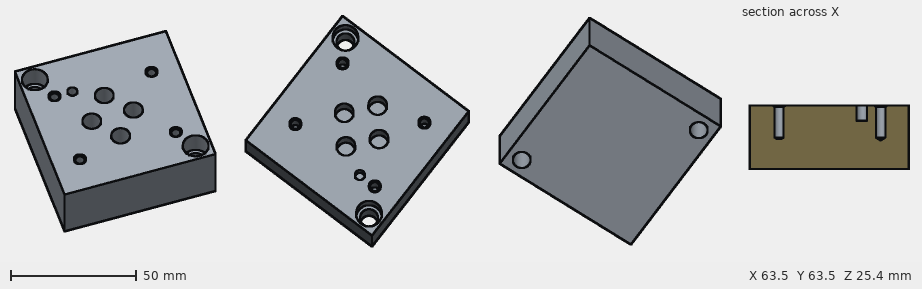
import cadquery as cq
import math

BLOCK_SIDE = 63.5
BLOCK_HEIGHT = 25.4

CORNER_INSET = 6.35
CORNER_HOLE_DIAMETER = 7.14
COUNTERBORE_DIAMETER = 10.31
COUNTERBORE_DEPTH = 10.0

PATTERN_ORIGIN_X = 16.5
PATTERN_ORIGIN_Y = 20.0

PORT_DIAMETER = 7.49
PORT_DEPTH = 12.7
PORTS = [(12.7, 15.5), (30.2, 15.5), (21.5, 5.1), (21.5, 25.9)]

BOLT_HOLE_DIAMETER = 3.68
BOLT_MOUTH_DIAMETER = 4.83
BOLT_MOUTH_ANGLE = 90.0
BOLT_HOLE_DEPTH = 12.7
DRILL_POINT_ANGLE = 118.0
BOLT_SPACING = 40.5
BOLT_HOLES = [(0.0, 0.0), (0.0, 31.0), (BOLT_SPACING, -0.75), (BOLT_SPACING, 31.75)]

PIN_HOLE_DIAMETER = 4.01
PIN_HOLE_DEPTH = 6.0
PIN_HOLE = (33.0, 31.75)


def cone_depth(diameter_change, included_angle):
    """Axial length over which a cone changes by the given diameter."""
    return diameter_change / 2 / math.tan(math.radians(included_angle / 2))


def on_block(along, across):
    """Convert a position in the valve pattern to X and Y on the block."""
    return PATTERN_ORIGIN_X - across, PATTERN_ORIGIN_Y - along


def flat_hole_cutter(x, y, diameter, depth):
    """Flat-bottomed cylinder sunk from the top face."""
    bottom = cq.Workplane("XY", origin=(x, y, BLOCK_HEIGHT - depth))
    return bottom.circle(diameter / 2).extrude(depth)


def bolt_hole_cutter(x, y):
    """Drilled hole with a conical point and a countersunk mouth."""
    hole_radius = BOLT_HOLE_DIAMETER / 2
    mouth_depth = cone_depth(BOLT_MOUTH_DIAMETER - BOLT_HOLE_DIAMETER, BOLT_MOUTH_ANGLE)
    point_depth = cone_depth(BOLT_HOLE_DIAMETER, DRILL_POINT_ANGLE)
    half_profile = [
        (0, 0),
        (BOLT_MOUTH_DIAMETER / 2, 0),
        (hole_radius, -mouth_depth),
        (hole_radius, -BOLT_HOLE_DEPTH),
        (0, -BOLT_HOLE_DEPTH - point_depth),
    ]
    hole_axis_plane = cq.Workplane("XZ", origin=(x, y, BLOCK_HEIGHT))
    return hole_axis_plane.polyline(half_profile).close().revolve(360, (0, 0), (0, 1))


result = cq.Workplane("XY").box(BLOCK_SIDE, BLOCK_SIDE, BLOCK_HEIGHT, centered=(True, True, False))

corner_offset = BLOCK_SIDE / 2 - CORNER_INSET
for corner in (-corner_offset, corner_offset):
    result = result.cut(flat_hole_cutter(corner, corner, CORNER_HOLE_DIAMETER, BLOCK_HEIGHT))
    result = result.cut(flat_hole_cutter(corner, corner, COUNTERBORE_DIAMETER, COUNTERBORE_DEPTH))

for port in PORTS:
    result = result.cut(flat_hole_cutter(*on_block(*port), PORT_DIAMETER, PORT_DEPTH))

for bolt_hole in BOLT_HOLES:
    result = result.cut(bolt_hole_cutter(*on_block(*bolt_hole)))

result = result.cut(flat_hole_cutter(*on_block(*PIN_HOLE), PIN_HOLE_DIAMETER, PIN_HOLE_DEPTH))